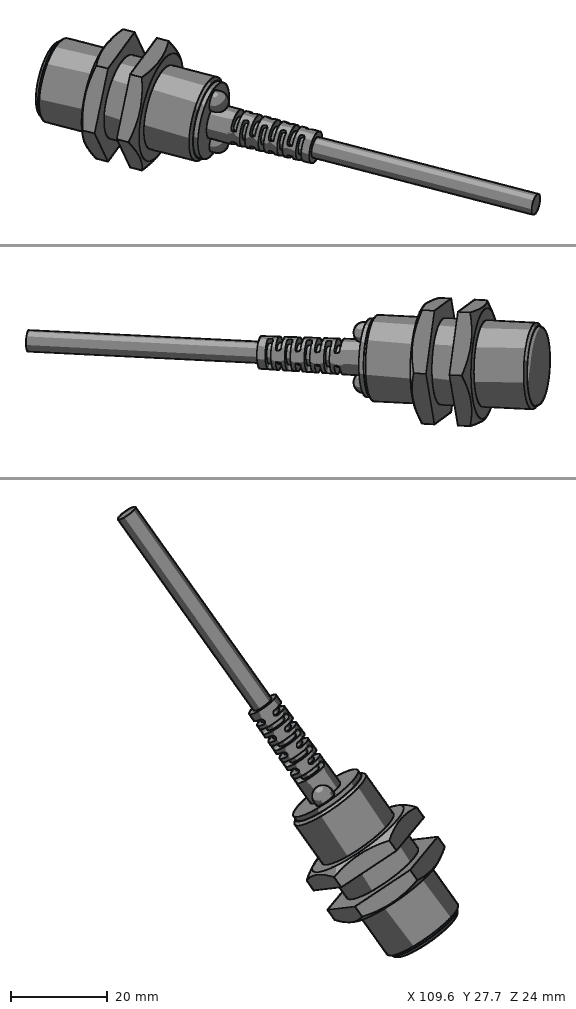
import cadquery as cq
import math


total_length = 109.62
cable_diameter = 4.5

barrel_diameter = 18.0
barrel_end_diameter = 16.8
barrel_start = 0.8
barrel_end = 35.8
barrel_chamfer = (barrel_diameter - barrel_end_diameter) / 2
front_cap_diameter = 16.5
rear_cap_diameter = 16.4
front_cap_fillet = 0.75
rear_face = 36.85

nut_across_flats = 24.0
nut_thickness = 4.0
nut_face_diameter = 23.0
nut_chamfer_angle = 30.0
front_nut_start = 12.0
rear_nut_end = 25.0

lamp_diameter = 4.5
lamp_offset = 5.25
lamp_straight_length = 0.95

boot_diameter = 7.5
boot_tip_diameter = 6.85
boot_taper_start = 41.1
boot_end = 59.9

slot_width = 1.2
slot_pitch = 2.1
slot_count = 8
first_slot_x = 42.8
slot_half_angle = 60.0


def rod(diameter, start, end):
    """Cylinder on the X axis between two stations."""
    return cq.Workplane("YZ", origin=(start, 0, 0)).circle(diameter / 2).extrude(end - start)


def make_barrel():
    barrel = rod(barrel_diameter, barrel_start, barrel_end).edges().chamfer(barrel_chamfer)
    front_cap = rod(front_cap_diameter, 0, barrel_end).faces("<X").edges().fillet(front_cap_fillet)
    rear_cap = rod(rear_cap_diameter, barrel_start, rear_face)
    return barrel.union(front_cap).union(rear_cap)


def make_nut():
    """Hexagonal nut from X = 0, with its chamfered face at X = 0 and flats facing +Z and -Z."""
    corner_diameter = nut_across_flats / math.cos(math.pi / 6)
    corner_radius = corner_diameter / 2
    face_radius = nut_face_diameter / 2
    chamfer_depth = (corner_radius - face_radius) * math.tan(math.radians(nut_chamfer_angle))
    hexagon = cq.Workplane("YZ").polygon(6, corner_diameter).extrude(nut_thickness)
    turned_blank = (
        cq.Workplane("XY")
        .moveTo(0, 0)
        .lineTo(0, face_radius)
        .lineTo(chamfer_depth, corner_radius)
        .lineTo(nut_thickness, corner_radius)
        .lineTo(nut_thickness, 0)
        .close()
        .revolve(360, (0, 0, 0), (1, 0, 0))
    )
    return hexagon.intersect(turned_blank)


def make_lamp(side):
    """Short pin with a hemispherical end, above (side = 1) or below (side = -1) the boot."""
    dome_base = rear_face + lamp_straight_length
    height = side * lamp_offset
    pin = rod(lamp_diameter, barrel_end, dome_base)
    dome = cq.Workplane("XY").sphere(lamp_diameter / 2).translate((dome_base, 0, 0))
    return pin.union(dome).translate((0, 0, height))


def make_boot():
    return (
        cq.Workplane("XY")
        .moveTo(barrel_end, 0)
        .lineTo(barrel_end, boot_diameter / 2)
        .lineTo(boot_taper_start, boot_diameter / 2)
        .lineTo(boot_end, boot_tip_diameter / 2)
        .lineTo(boot_end, 0)
        .close()
        .revolve(360, (0, 0, 0), (1, 0, 0))
    )


def make_slot(x, middle_angle):
    """Round-ended slot around the X axis; middle_angle is measured from +Y towards +Z."""
    floor_radius = cable_diameter / 2
    depth = boot_diameter / 2 - floor_radius
    middle_radius = floor_radius + depth / 2
    start_angle = middle_angle - slot_half_angle
    end_angle = middle_angle + slot_half_angle
    slot = (
        cq.Workplane("XY")
        .center(x, middle_radius)
        .rect(slot_width, depth)
        .revolve(2 * slot_half_angle, (0, -middle_radius, 0), (1, -middle_radius, 0))
        .rotate((0, 0, 0), (1, 0, 0), start_angle)
    )
    for angle in (start_angle, end_angle):
        round_end = (
            cq.Workplane("XZ", origin=(x, 0, 0))
            .circle(slot_width / 2)
            .extrude(-boot_diameter / 2)
            .rotate((0, 0, 0), (1, 0, 0), angle)
        )
        slot = slot.union(round_end)
    return slot


def make_slotted_boot():
    boot = make_boot()
    for index in range(slot_count):
        x = first_slot_x + index * slot_pitch
        first_angle = 90 if index % 2 == 0 else 0
        for middle_angle in (first_angle, first_angle + 180):
            boot = boot.cut(make_slot(x, middle_angle))
    return boot


front_nut = make_nut().translate((front_nut_start, 0, 0))
rear_nut = make_nut().mirror("YZ").translate((rear_nut_end, 0, 0))
cable = rod(cable_diameter, barrel_end, total_length)

result = make_barrel().union(front_nut).union(rear_nut)
result = result.union(make_slotted_boot()).union(cable)
for lamp_side in (1, -1):
    result = result.union(make_lamp(lamp_side))